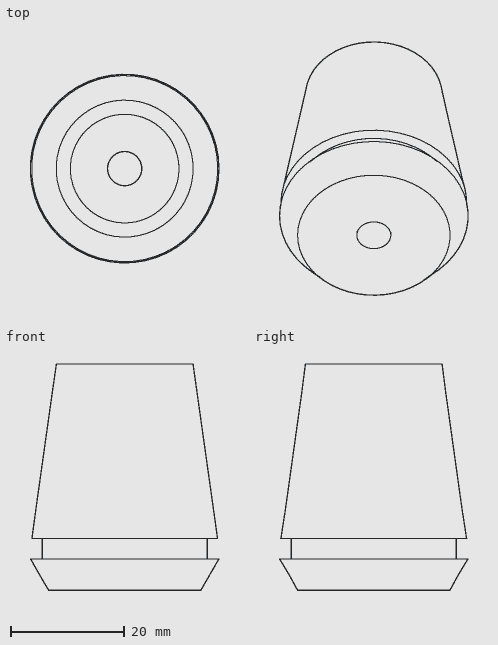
import cadquery as cq
import math

total_height = 40.0
rim_diameter = 33.35
body_half_angle = 8.0
nose_half_angle = 30.0

groove_bottom = 5.55
groove_top = 9.1
groove_diameter = 29.2

body_base_diameter = 32.9
bore_diameter = 19.2
through_hole_diameter = 6.0
floor_thickness = groove_top

rim_radius = rim_diameter / 2
nose_radius = rim_radius - groove_bottom * math.tan(math.radians(nose_half_angle))
body_base_radius = body_base_diameter / 2
body_height = total_height - groove_top
body_top_radius = body_base_radius - body_height * math.tan(math.radians(body_half_angle))
groove_radius = groove_diameter / 2


def collet_body():
    """Revolve the solid outer shape about the Z axis."""
    outline = [
        (0, 0),
        (nose_radius, 0),
        (rim_radius, groove_bottom),
        (groove_radius, groove_bottom),
        (groove_radius, groove_top),
        (body_base_radius, groove_top),
        (body_top_radius, total_height),
        (0, total_height),
    ]
    return cq.Workplane("XZ").polyline(outline).close().revolve(360, (0, 0), (0, 1))


def vertical_cylinder(diameter, bottom, top):
    """Make a cylinder on the Z axis between two heights."""
    return cq.Workplane("XY").workplane(offset=bottom).circle(diameter / 2).extrude(top - bottom)


wide_bore = vertical_cylinder(bore_diameter, floor_thickness, total_height)
through_hole = vertical_cylinder(through_hole_diameter, 0, total_height)
result = collet_body().cut(wide_bore).cut(through_hole)